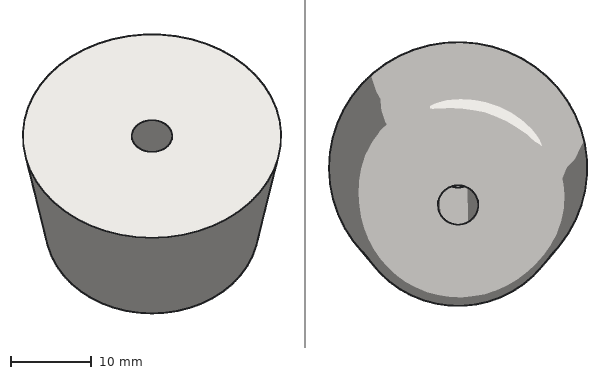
import cadquery as cq

top_diameter = 32.0
base_diameter = 26.0
height = 20.0
bore_diameter = 5.0
base_edge_radius = 2.0


def make_foot():
    """Tapered body, wide at the top, with a rounded base edge and a through bore."""
    profile = (
        cq.Workplane("XZ")
        .polyline([(0, 0), (base_diameter / 2, 0), (top_diameter / 2, height), (0, height)])
        .close()
    )
    cone = profile.revolve(360, (0, 0, 0), (0, 1, 0))
    rounded = cone.faces("<Z").edges().fillet(base_edge_radius)
    bore = cq.Workplane("XY").circle(bore_diameter / 2).extrude(height)
    return rounded.cut(bore)


foot = make_foot()

result = cq.Compound.makeCompound([foot.val()])